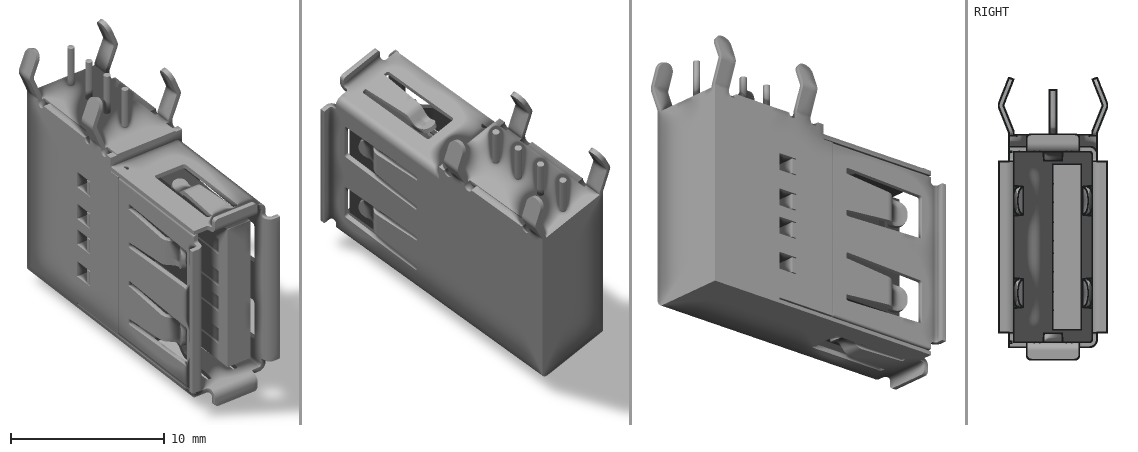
import cadquery as cq
import math


total_length = 19.3
sheet = 0.33
mouth_x = 18.57
half_depth = 2.88
sleeve_height = 13.09
mid_z = sleeve_height / 2
corner_radius = 0.52
block_length = 9.3
block_height = 13.85

leg_width = 1.22
leg_starts = (0.0, 7.0)
leg_path = [(0, 0), (0.14, 0), (1.91, 0.71), (3.72, 0)]
leg_bend_radii = (0.25, 0.25)
leg_tip_radius = 0.6

relief_radius = 0.3
relief_depth = 0.52
ledge_drop = 0.08

side_flange_length = 11.15
side_flange_reach = 0.65
end_flange_length = 3.44
end_flange_reach = 0.81
end_flange_corner = 0.29
flange_bend_radii = (0.2,)
flange_root_fillet = 0.17

side_window_x = 11.3
side_window_offset = 3.01
side_window_length = 6.48
side_window_halves = (1.72, 1.5)
side_spring_halves = (1.3, 0.81)
side_spring_reach = 5.5
end_window_x = 17.8
end_window_length = 5.96
end_window_halves = (1.24, 1.24)
end_spring_halves = (0.87, 0.5)
end_spring_reach = 5.17
window_corner = 0.15
spring_tip_flat = 0.04
spring_hook = 1.65
spring_valley = 0.73
spring_dip = 0.7
spring_tip_dip = 0.29
spring_bend_radii = (0.39, 0.48)

seam_depth = 0.2
plate_start = 10.11
plate_seam_width = 0.08
upper_seam = (12.72, 12.78)
lower_seam = (0.25, 0.39)
plate_edge_radius = 0.15

vent_x = 10.0
vent_y = -2.2
vent_radius = 0.23

contact_offsets = (-3.51, -1.0, 1.0, 3.51)
slot_width = 1.2
contact_width = 1.05
pin_radius = 0.23
first_pin_x = 0.89
pin_pitch = 2.0
pin_top = 16.77
blade_front = 0.08
blade_back = 0.27
blade_end = 17.12
blade_bevel = 0.48
lug_start = 6.64
lug_end = 6.97
hole_end = 7.03

tongue_start = 5.55
tongue_end = 18.34
tongue_height = 10.8
tongue_thickness = 1.83
slot_end = 17.3


def box(x_range, y_range, z_range):
    sizes = [end - start for start, end in (x_range, y_range, z_range)]
    corner = (x_range[0], y_range[0], z_range[0])
    return cq.Workplane("XY").box(*sizes, centered=False).translate(corner)


def frame(origin, along, outward):
    """Location whose local X runs along a wall and whose local Y points out of it."""
    along = cq.Vector(*along)
    outward = cq.Vector(*outward)
    return cq.Location(cq.Plane(origin, along, along.cross(outward)))


def placed(work, location):
    return cq.Workplane(work.val().moved(location))


def inner_path(path):
    """The path moved one sheet thickness to its right, with mitred bends."""
    angles = [math.atan2(b[1] - a[1], b[0] - a[0]) for a, b in zip(path, path[1:])]
    before = [angles[0]] + angles
    after = angles + [angles[-1]]
    moved = []
    for (x, y), first, second in zip(path, before, after):
        direction = (first + second) / 2
        miter = sheet / math.cos((second - first) / 2)
        moved.append((x + miter * math.sin(direction), y - miter * math.cos(direction)))
    return moved


def bent_strip(path, width, inside_radii):
    """Sheet strip whose outer face follows the path, with every bend rounded."""
    inner = inner_path(path)
    strip = cq.Workplane("XY").polyline(path + inner[::-1]).close().extrude(width / 2, both=True)
    for i, inside_radius in enumerate(inside_radii, start=1):
        (x0, y0), (x1, y1), (x2, y2) = path[i - 1:i + 2]
        turns_outwards = (x1 - x0) * (y2 - y1) - (y1 - y0) * (x2 - x1) > 0
        inside, outside = (path[i], inner[i]) if turns_outwards else (inner[i], path[i])
        for point, radius in ((inside, inside_radius), (outside, inside_radius + sheet)):
            bend_edge = cq.selectors.NearestToPointSelector((*point, 0))
            strip = strip.edges(bend_edge).fillet(radius)
    return strip


def round_free_end(strip, path, width, radius):
    outer_end, inner_end = path[-1], inner_path(path)[-1]
    x, y = [(a + b) / 2 for a, b in zip(outer_end, inner_end)]
    for z in (-width / 2, width / 2):
        strip = strip.edges(cq.selectors.NearestToPointSelector((x, y, z))).fillet(radius)
    return strip


def cavity():
    """Open inside of the sleeve, from the rear block to the mouth."""
    inner_half = half_depth - sheet
    room = box((plate_start, mouth_x), (-inner_half, inner_half), (sheet, sleeve_height - sheet))
    return room.edges("|X and >Y").fillet(corner_radius - sheet)


def shell():
    sleeve = box((0, mouth_x), (-half_depth, half_depth), (0, sleeve_height))
    sleeve = sleeve.edges("|X and >Y").fillet(corner_radius)
    block = box((0, block_length), (-half_depth, half_depth), (0, block_height))
    block = block.edges("|X and >Y and <Z").fillet(corner_radius)
    return sleeve.union(block).cut(cavity())


def cut_leg_reliefs(body):
    ledges = [
        (leg_starts[0] + leg_width, leg_starts[1]),
        (leg_starts[1] + leg_width, block_length),
    ]
    notches = [
        leg_starts[0] + leg_width + relief_radius,
        leg_starts[1] - relief_radius,
        leg_starts[1] + leg_width + relief_radius,
    ]
    ledge_z = block_height - ledge_drop
    for y_range in ((-half_depth, relief_depth - half_depth), (half_depth - relief_depth, half_depth)):
        for x_range in ledges:
            body = body.cut(box(x_range, y_range, (ledge_z, block_height)))
        for x in notches:
            plane = cq.Workplane("XZ", origin=(x, y_range[1], ledge_z))
            body = body.cut(plane.circle(relief_radius).extrude(relief_depth))
    return body


def add_legs(body):
    leg = bent_strip(leg_path, leg_width, leg_bend_radii)
    leg = round_free_end(leg, leg_path, leg_width, leg_tip_radius)
    for start in leg_starts:
        for side in (-1, 1):
            root = (start + leg_width / 2, side * half_depth, block_height)
            body = body.union(placed(leg, frame(root, (0, 0, 1), (0, side, 0))))
    return body


def flange(length, reach):
    path = [(0, 0), (total_length - sheet - mouth_x, 0), (total_length - sheet - mouth_x, reach)]
    return bent_strip(path, length, flange_bend_radii), path


def add_flanges(body):
    side_flange, _ = flange(side_flange_length, side_flange_reach)
    end_flange, end_path = flange(end_flange_length, end_flange_reach)
    end_flange = round_free_end(end_flange, end_path, end_flange_length, end_flange_corner)
    root_points = []
    for side in (-1, 1):
        root = (mouth_x, side * half_depth, mid_z)
        body = body.union(placed(side_flange, frame(root, (1, 0, 0), (0, side, 0))))
        root = (mouth_x, 0, mid_z + side * mid_z)
        body = body.union(placed(end_flange, frame(root, (1, 0, 0), (0, 0, side))))
        for end in (-1, 1):
            wall_y = side * (half_depth - sheet / 2)
            wall_z = mid_z + side * (mid_z - sheet / 2)
            root_points.append((mouth_x, wall_y, mid_z + end * side_flange_length / 2))
            root_points.append((mouth_x, end * end_flange_length / 2, wall_z))
    for point in root_points:
        body = body.edges(cq.selectors.NearestToPointSelector(point)).fillet(flange_root_fillet)
    return body


def spring_window(length, halves):
    root, far = halves
    outline = [(0, -root), (length, -far), (length, far), (0, root)]
    window = cq.Workplane("XZ").polyline(outline).close().extrude(sheet)
    return window.edges("|Y").fillet(window_corner)


def spring(halves, reach):
    """Tapered leaf spring that dips inwards and lifts again at its rounded tip."""
    root, far = halves
    first_bend = reach - spring_hook
    path = [
        (0, 0),
        (first_bend, 0),
        (first_bend + spring_valley, -spring_dip),
        (reach, -spring_tip_dip),
    ]
    strip = bent_strip(path, 2 * root, spring_bend_radii)
    beyond_tip = reach + sheet
    outline = [(0, -root), (beyond_tip, -far), (beyond_tip, far), (0, root)]
    taper = cq.Workplane("XZ").polyline(outline).close().extrude(half_depth)
    return round_free_end(strip.intersect(taper), path, 2 * far, far - spring_tip_flat / 2)


def add_springs(body):
    side_window = spring_window(side_window_length, side_window_halves)
    side_spring = spring(side_spring_halves, side_spring_reach)
    end_window = spring_window(end_window_length, end_window_halves)
    end_spring = spring(end_spring_halves, end_spring_reach)
    for side in (-1, 1):
        for offset in (-side_window_offset, side_window_offset):
            root = (side_window_x, side * half_depth, mid_z + offset)
            location = frame(root, (1, 0, 0), (0, side, 0))
            body = body.cut(placed(side_window, location)).union(placed(side_spring, location))
        root = (end_window_x, 0, mid_z + side * mid_z)
        location = frame(root, (-1, 0, 0), (0, 0, side))
        body = body.cut(placed(end_window, location)).union(placed(end_spring, location))
    return body


def plate_edge_cut(edge_z, inward):
    """Waste outside the rounded -Y edge of the plate; inward is +1 or -1 along Z."""
    face_y = -half_depth
    radius = plate_edge_radius
    bulge = radius * (1 - math.sqrt(0.5))
    return (
        cq.Workplane("YZ", origin=(plate_start, 0, 0))
        .moveTo(face_y, edge_z)
        .lineTo(face_y + radius, edge_z)
        .threePointArc((face_y + bulge, edge_z + inward * bulge), (face_y, edge_z + inward * radius))
        .close()
        .extrude(mouth_x - plate_start)
    )


def cut_seams(body):
    depth = (-half_depth, seam_depth - half_depth)
    body = body.cut(box((block_length, mouth_x), depth, upper_seam))
    body = body.cut(box((tongue_start, mouth_x), depth, lower_seam))
    plate_gap = (plate_start, plate_start + plate_seam_width)
    body = body.cut(box(plate_gap, depth, (lower_seam[1], upper_seam[0])))
    body = body.cut(plate_edge_cut(upper_seam[0], -1))
    return body.cut(plate_edge_cut(lower_seam[1], 1))


def cut_vent(body):
    vent = (
        cq.Workplane("XY", origin=(vent_x, vent_y, sleeve_height - sheet))
        .moveTo(-vent_radius, 0)
        .threePointArc((0, vent_radius), (vent_radius, 0))
        .close()
        .extrude(sheet)
    )
    return body.cut(vent)


def contact_holes():
    """Square holes from the -Y face down to the centre plane, one for each contact."""
    holes = []
    for offset in contact_offsets:
        z = mid_z + offset
        z_range = (z - slot_width / 2, z + slot_width / 2)
        holes.append(box((tongue_start, hole_end), (-half_depth, 0), z_range))
    return holes


def make_contact(index):
    """Round pin, flat blade along the tongue, and a lug that ends flush in the square hole."""
    pin_x = first_pin_x + index * pin_pitch
    z = mid_z + contact_offsets[index]
    z_range = (z - contact_width / 2, z + contact_width / 2)
    pin = cq.Workplane("XY", origin=(pin_x, 0, z)).circle(pin_radius).extrude(pin_top - z)
    blade_outline = [
        (pin_x, blade_front),
        (blade_end - blade_bevel, blade_front),
        (blade_end, (blade_front + blade_back) / 2),
        (blade_end, blade_back),
        (pin_x, blade_back),
    ]
    blade = (
        cq.Workplane("XY", origin=(0, 0, z_range[0]))
        .polyline(blade_outline)
        .close()
        .extrude(contact_width)
    )
    lug = box((lug_start, lug_end), (-half_depth, blade_back), z_range)
    return pin.union(blade).union(lug)


def tongue_blank():
    z_range = (mid_z - tongue_height / 2, mid_z + tongue_height / 2)
    return box((tongue_start, tongue_end), (0, tongue_thickness), z_range)


def make_housing(contacts):
    body = cut_leg_reliefs(shell())
    body = add_flanges(add_legs(body))
    body = add_springs(body)
    body = cut_vent(cut_seams(body))
    for cutter in [tongue_blank(), *contact_holes(), *contacts]:
        body = body.cut(cutter)
    return body


def make_tongue(contacts):
    """Flat insulator seated in the rear block, with an open slot in front of it for each blade."""
    body = tongue_blank()
    for offset in contact_offsets:
        z = mid_z + offset
        z_range = (z - slot_width / 2, z + slot_width / 2)
        body = body.cut(box((plate_start, slot_end), (0, blade_back), z_range))
    for contact in contacts:
        body = body.cut(contact)
    return body


contacts = [make_contact(index) for index in range(len(contact_offsets))]
housing = make_housing(contacts)
tongue = make_tongue(contacts)

result = cq.Compound.makeCompound([housing.val(), tongue.val(), *[contact.val() for contact in contacts]])